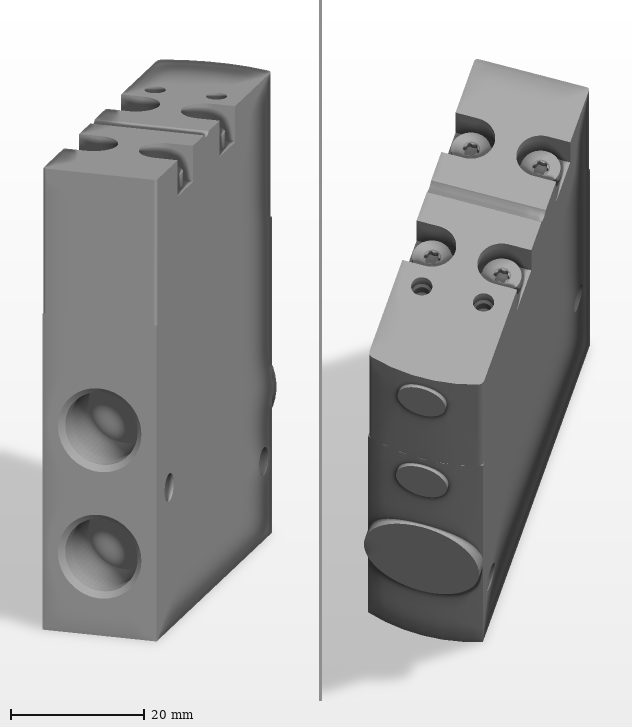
import cadquery as cq
import math

width = 18.0
total_depth = 57.0
total_height = 73.0
button_projection = 0.5
back_crown = 1.5
split_height = 50.0

port_spacing = 20.0
lower_port_height = 12.5
port_bore_diameter = 11.45
port_bore_depth = 12.0
port_chamfer = 0.9
mounting_hole_diameter = 4.4
front_mounting_hole_y = 6.0
rear_mounting_hole_y = 51.0
large_button_diameter = 18.1
middle_button_diameter = 8.0
middle_button_height = 44.4

cover_front_fillet = 0.5
cover_back_fillet = 1.1
cover_button_diameter = 7.5
cover_button_height = 67.0
screw_spacing_x = 10.95
screw_spacing_y = 20.0
front_screw_y = 13.7
pocket_diameter = 7.3
pocket_depth = 5.7
screw_head_diameter = 6.0
screw_head_height = 2.5
socket_lead_in_diameter = 2.8
socket_tip_diameter = 2.5
socket_valley_diameter = 2.0
socket_depth = 1.1
socket_lead_in_depth = 0.15
socket_lobes = 6
lobe_half_angle = 13.0
lobe_shoulder_drop = 0.1
groove_width = 2.2
groove_depth = 0.6
top_hole_mouth_diameter = 3.2
top_hole_mouth_depth = 1.8
top_hole_bore_diameter = 2.5
top_hole_depth = 3.65
top_hole_spacing = 9.7
top_hole_y = 41.0

half_width = width / 2
crown_y = total_depth - button_projection
back_corner_y = crown_y - back_crown
cover_height = total_height - split_height
pocket_floor = total_height - pocket_depth
screw_head_top = pocket_floor + screw_head_height
port_middle_height = lower_port_height + port_spacing / 2
front_mounting_hole = (front_mounting_hole_y, port_middle_height)
rear_mounting_hole = (rear_mounting_hole_y, lower_port_height)
groove_y = front_screw_y + screw_spacing_y / 2


def crowned_block(base_z, height):
    """Block with a flat front at Y = 0 and a back face bowed outwards in one arc."""
    return (
        cq.Workplane("XY", origin=(0, 0, base_z))
        .moveTo(-half_width, 0)
        .lineTo(half_width, 0)
        .lineTo(half_width, back_corner_y)
        .threePointArc((0, crown_y), (-half_width, back_corner_y))
        .close()
        .extrude(height)
    )


def button(diameter, center_z):
    """Round button on the back face, trimmed to the width of the block."""
    root_y = back_corner_y - back_crown
    length = total_depth - root_y
    disc = cq.Workplane("XZ", origin=(0, root_y, center_z)).circle(diameter / 2).extrude(-length)
    width_limit = cq.Workplane("XY", origin=(0, root_y + length / 2, center_z)).box(width, length, diameter)
    return disc.intersect(width_limit)


def port(center_z):
    """Blind port bore in the front face with a chamfered mouth."""
    bore_radius = port_bore_diameter / 2
    return (
        cq.Workplane("XY", origin=(0, 0, center_z))
        .lineTo(bore_radius + port_chamfer, 0)
        .lineTo(bore_radius, port_chamfer)
        .lineTo(bore_radius, port_bore_depth)
        .lineTo(0, port_bore_depth)
        .close()
        .revolve(360, (0, 0, 0), (0, 1, 0))
    )


def screw_pocket(x, y):
    """Round-ended pocket around a screw head, open to the nearer side face."""
    side_x = math.copysign(half_width, x)
    floor = cq.Workplane("XY", origin=(0, 0, pocket_floor))
    round_end = floor.center(x, y).circle(pocket_diameter / 2).extrude(pocket_depth)
    opening = (
        floor.center((x + side_x) / 2, y)
        .rect(abs(side_x - x), pocket_diameter)
        .extrude(pocket_depth)
    )
    return round_end.union(opening)


def polar_point(radius, degrees):
    """XY coordinates of a point given by radius and angle."""
    angle = math.radians(degrees)
    return (radius * math.cos(angle), radius * math.sin(angle))


def screw_socket(x, y):
    """Six-lobed drive socket: a ring of convex tips joined by concave valleys."""
    tip_radius = socket_tip_diameter / 2
    valley_radius = socket_valley_diameter / 2
    shoulder_radius = tip_radius - lobe_shoulder_drop
    pitch = 360 / socket_lobes
    outline = (
        cq.Workplane("XY", origin=(x, y, screw_head_top - socket_depth))
        .moveTo(*polar_point(shoulder_radius, -lobe_half_angle))
    )
    for lobe in range(socket_lobes):
        tip_angle = lobe * pitch
        outline = outline.threePointArc(
            polar_point(tip_radius, tip_angle),
            polar_point(shoulder_radius, tip_angle + lobe_half_angle),
        ).threePointArc(
            polar_point(valley_radius, tip_angle + pitch / 2),
            polar_point(shoulder_radius, tip_angle + pitch - lobe_half_angle),
        )
    return outline.close().extrude(socket_depth)


def screw_head(x, y):
    """Screw head on the pocket floor, its drive socket entered through a conical lead-in."""
    head = (
        cq.Workplane("XY", origin=(x, y, pocket_floor))
        .circle(screw_head_diameter / 2)
        .extrude(screw_head_height)
    )
    lead_in = (
        cq.Workplane("XY", origin=(x, y, screw_head_top - socket_lead_in_depth))
        .circle(socket_tip_diameter / 2)
        .workplane(offset=socket_lead_in_depth)
        .circle(socket_lead_in_diameter / 2)
        .loft(combine=True)
    )
    return head.cut(screw_socket(x, y)).cut(lead_in)


def top_groove():
    """Shallow round-bottomed groove running across the top in X."""
    radius = ((groove_width / 2) ** 2 + groove_depth ** 2) / (2 * groove_depth)
    axis_z = total_height + radius - groove_depth
    return (
        cq.Workplane("YZ", origin=(-half_width, groove_y, axis_z))
        .circle(radius)
        .extrude(width)
    )


def top_hole(x):
    """Blind stepped hole in the top with a 45 degree shoulder between its two diameters."""
    mouth_radius = top_hole_mouth_diameter / 2
    bore_radius = top_hole_bore_diameter / 2
    shoulder_depth = top_hole_mouth_depth + mouth_radius - bore_radius
    return (
        cq.Workplane("XZ", origin=(x, top_hole_y, total_height))
        .lineTo(mouth_radius, 0)
        .lineTo(mouth_radius, -top_hole_mouth_depth)
        .lineTo(bore_radius, -shoulder_depth)
        .lineTo(bore_radius, -top_hole_depth)
        .lineTo(0, -top_hole_depth)
        .close()
        .revolve(360, (0, 0, 0), (0, 1, 0))
    )


def build_valve_body():
    body = crowned_block(0, split_height)
    body = body.union(button(large_button_diameter, port_middle_height))
    body = body.union(button(middle_button_diameter, middle_button_height))
    for port_height in (lower_port_height, lower_port_height + port_spacing):
        body = body.cut(port(port_height))
    mounting_holes = (
        cq.Workplane("YZ", origin=(-half_width, 0, 0))
        .pushPoints([front_mounting_hole, rear_mounting_hole])
        .circle(mounting_hole_diameter / 2)
        .extrude(width)
    )
    return body.cut(mounting_holes)


def build_cover():
    cover = crowned_block(split_height, cover_height)
    cover = cover.edges("|Z and <Y").fillet(cover_front_fillet)
    back_corners = cq.selectors.BoxSelector(
        (-width, back_corner_y - back_crown, 0),
        (width, total_depth, total_height),
    )
    cover = cover.edges("|Z").edges(back_corners).fillet(cover_back_fillet)
    cover = cover.union(button(cover_button_diameter, cover_button_height))
    cover = cover.cut(top_groove())

    for x in (-top_hole_spacing / 2, top_hole_spacing / 2):
        cover = cover.cut(top_hole(x))
    for x in (-screw_spacing_x / 2, screw_spacing_x / 2):
        for y in (front_screw_y, front_screw_y + screw_spacing_y):
            cover = cover.cut(screw_pocket(x, y)).union(screw_head(x, y))
    return cover


valve_body = build_valve_body()
cover = build_cover()

result = cq.Compound.makeCompound([valve_body.solids().val(), cover.solids().val()])